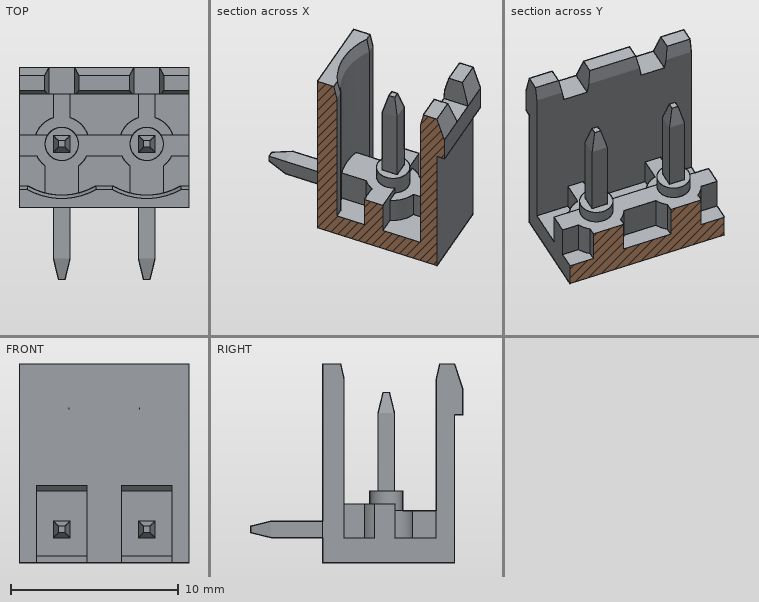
import cadquery as cq
import math


pole_pitch = 5.08
pole_count = 2
width = pole_count * pole_pitch
depth = 7.9
height = 11.9
floor_height = 1.5
root_z = floor_height / 2
front_wall = 1.3
rear_wall = 1.1
lead_in_depth = 0.2
lead_in_height = 0.9
margin = 1.27

latch_reach = 0.5
latch_bottom = 8.85
notch_depth = 1.5
latch_shoulder = height - notch_depth
notch_bottom_width = 1.52
notch_top_width = 2.06

scallop_radius = 4.0
scallop_sag = 0.55

pin_y = 3.81
ridge_front = 3.1
ridge_rear = 4.33
front_rib_width = 2.01
rear_rib_width = 1.0
boss_radius = 1.65
front_rib_top = 3.53
rear_rib_top = 3.12
collar_diameter = 2.0
collar_top = 4.3

pin_size = 1.0
pin_tip_size = 0.4
pin_taper = 1.25
pin_top = 10.2
pin_reach = 4.3
tail_z = 2.01

recess_width = 3.0
recess_depth = 0.56
recess_front_top = 4.64
recess_back_top = 4.3
undercut_height = 0.41
undercut_depth = front_wall

pole_xs = [(i - (pole_count - 1) / 2) * pole_pitch for i in range(pole_count)]


def box(x_center, x_size, y_range, z_range):
    """Block centred on x_center that fills the given Y and Z ranges."""
    y_min, y_max = y_range
    z_min, z_max = z_range
    block = cq.Workplane("XY").box(x_size, y_max - y_min, z_max - z_min, centered=(True, False, False))
    return block.translate((x_center, y_min, z_min))


def prism_along_x(points, x_center, x_size):
    """Prism of a (Y, Z) outline, centred on x_center."""
    return cq.Workplane("YZ", origin=(x_center - x_size / 2, 0, 0)).polyline(points).close().extrude(x_size)


def housing_block():
    outline = [
        (0, 0),
        (depth, 0),
        (depth, latch_bottom),
        (depth + latch_reach, latch_bottom),
        (depth + latch_reach, latch_shoulder),
        (depth, height),
        (0, height),
    ]
    return prism_along_x(outline, 0, width)


def channel_outline(z):
    """Plan of the channel at height z, open at both X ends."""
    half_length = width / 2 + margin
    half_chord = math.sqrt(scallop_radius**2 - (scallop_radius - scallop_sag) ** 2)
    outline = cq.Workplane("XY", origin=(0, 0, z)).moveTo(-half_length, front_wall)
    for x in pole_xs:
        outline = outline.lineTo(x - half_chord, front_wall)
        outline = outline.threePointArc((x, front_wall - scallop_sag), (x + half_chord, front_wall))
    outline = outline.lineTo(half_length, front_wall)
    return outline.lineTo(half_length, depth - rear_wall).lineTo(-half_length, depth - rear_wall).close()


def channel():
    """Channel cavity, flaring outward over the lead-in at the top."""
    lead_in_start = height - lead_in_height
    flare = math.degrees(math.atan2(lead_in_depth, lead_in_height))
    straight = channel_outline(floor_height).extrude(lead_in_start - floor_height)
    return straight.union(channel_outline(lead_in_start).extrude(lead_in_height, taper=-flare))


def latch_notch(x):
    """Trapezoidal notch through the latch, wider at the top."""
    bottom = notch_bottom_width / 2
    top = notch_top_width / 2
    outline = [(x - bottom, -notch_depth), (x + bottom, -notch_depth), (x + top, 0), (x - top, 0)]
    y_end = depth + latch_reach + margin
    length = y_end - depth / 2
    return cq.Workplane("XZ", origin=(0, y_end, height)).polyline(outline).close().extrude(length)


def front_recess(x):
    """Recess with a sloped roof, stepped deeper along the underside."""
    outline = [
        (0, 0),
        (undercut_depth, 0),
        (undercut_depth, undercut_height),
        (recess_depth, undercut_height),
        (recess_depth, recess_back_top),
        (0, recess_front_top),
    ]
    return prism_along_x(outline, x, recess_width)


def floor_disc(x, radius, top):
    """Disc around one pin, rooted in the channel floor."""
    return cq.Workplane("XY", origin=(x, pin_y, root_z)).circle(radius).extrude(top - root_z)


def floor_ribs(x):
    """Ribs, stepped boss and collar that carry one pin."""
    boss_front = floor_disc(x, boss_radius, front_rib_top).intersect(
        box(x, width, (0, ridge_rear), (0, front_rib_top))
    )
    return (
        floor_disc(x, boss_radius, rear_rib_top)
        .union(boss_front)
        .union(floor_disc(x, collar_diameter / 2, collar_top))
        .union(box(x, front_rib_width, (front_wall / 2, pin_y), (root_z, front_rib_top)))
        .union(box(x, rear_rib_width, (pin_y, depth - rear_wall / 2), (root_z, rear_rib_top)))
    )


def tapered_pin(base, length):
    """Square pin along the normal of the base plane, ending in a tapered tip."""
    shank = base.rect(pin_size, pin_size).extrude(length - pin_taper)
    tip = (
        shank.faces(cq.selectors.DirectionMinMaxSelector(base.plane.zDir, True))
        .workplane()
        .rect(pin_size, pin_size)
        .workplane(offset=pin_taper)
        .rect(pin_tip_size, pin_tip_size)
        .loft(combine=False)
    )
    return shank.union(tip)


def bent_pin(x):
    """Upright contact joined to a solder tail that leaves through the front face."""
    contact = tapered_pin(cq.Workplane("XY", origin=(x, pin_y, tail_z)), pin_top - tail_z)
    tail = tapered_pin(cq.Workplane("XZ", origin=(x, pin_y, tail_z)), pin_y + pin_reach)
    return contact.union(tail)


result = housing_block().cut(channel())
result = result.union(box(0, width, (ridge_front, ridge_rear), (root_z, front_rib_top)))
for pole_x in pole_xs:
    result = result.cut(latch_notch(pole_x)).cut(front_recess(pole_x))
    result = result.union(floor_ribs(pole_x)).union(bent_pin(pole_x))